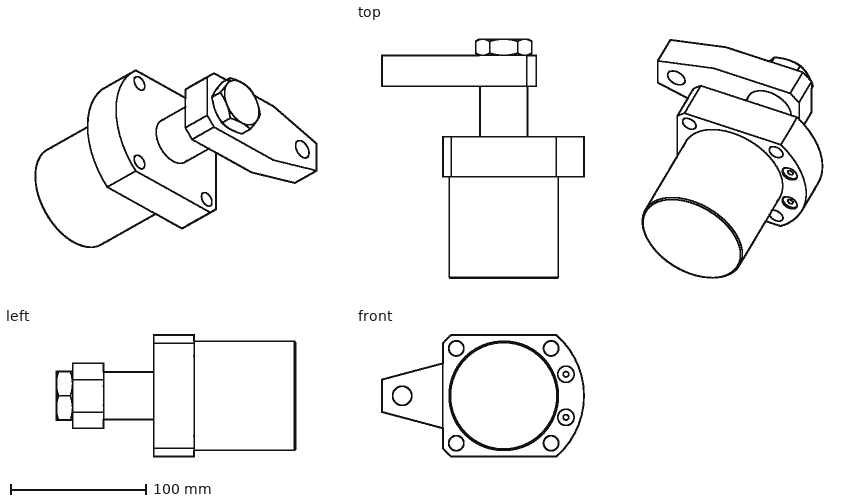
import cadquery as cq
import math


barrel_length = 75.0
flange_thickness = 30.0
rod_length = 37.0
arm_thickness = 23.0
nut_thickness = 12.0

barrel_top = barrel_length
flange_top = barrel_top + flange_thickness
rod_top = flange_top + rod_length
arm_top = rod_top + arm_thickness
nut_top = arm_top + nut_thickness

flange_radius = 59.5
flange_half_width = 45.0
barrel_diameter = 80.9
barrel_chamfer = 1.0
bolt_hole_offset = 35.0
bolt_hole_diameter = 11.0

port_x = 46.0
port_z = 16.0
port_recess_diameter = 12.0
port_recess_depth = 1.2
port_hole_diameter = 4.0
port_hole_depth = 10.0
drill_point_angle = 118

rod_diameter = 35.4

arm_reach = 90.1
arm_half_width = 24.0
arm_taper_x = 45.0
arm_tip_half_width = 12.0
arm_corner_chamfer = 7.0
arm_hole_x = 75.0
arm_hole_diameter = 14.0

nut_across_flats = 36.0
nut_chamfer_angle = 30


def section_plane(y):
    """Plane across the axis at height y; extruding from it runs toward -Y."""
    return cq.Workplane("XZ", origin=(0, y, 0))


def revolve_about_y(half_profile):
    """Full turn of a closed (radius, y) outline about the Y axis."""
    return cq.Workplane("XY").polyline(half_profile).close().revolve(360, (0, 0), (0, 1))


def make_port_cutter(z):
    """Shallow round recess with a drilled, cone-bottomed hole in its middle."""
    recess_radius = port_recess_diameter / 2
    hole_radius = port_hole_diameter / 2
    recess_floor = barrel_top + port_recess_depth
    hole_floor = recess_floor + port_hole_depth
    drill_tip = hole_floor + hole_radius / math.tan(math.radians(drill_point_angle / 2))
    half_profile = [
        (0, barrel_top),
        (recess_radius, barrel_top),
        (recess_radius, recess_floor),
        (hole_radius, recess_floor),
        (hole_radius, hole_floor),
        (0, drill_tip),
    ]
    return revolve_about_y(half_profile).translate((port_x, 0, z))


def make_housing():
    flange = section_plane(flange_top).circle(flange_radius).extrude(flange_thickness)
    trim_length = flange_half_width + flange_radius
    trim = (
        section_plane(flange_top)
        .center(trim_length / 2 - flange_half_width, 0)
        .rect(trim_length, 2 * flange_half_width)
        .extrude(flange_thickness)
    )
    flange = flange.intersect(trim)

    bolt_holes = (
        section_plane(flange_top)
        .rect(2 * bolt_hole_offset, 2 * bolt_hole_offset, forConstruction=True)
        .vertices()
        .circle(bolt_hole_diameter / 2)
        .extrude(flange_thickness)
    )
    flange = flange.cut(bolt_holes)
    for z in (-port_z, port_z):
        flange = flange.cut(make_port_cutter(z))

    barrel = section_plane(barrel_top).circle(barrel_diameter / 2).extrude(barrel_length)
    barrel = barrel.faces("<Y").edges().chamfer(barrel_chamfer)
    return flange.union(barrel)


def make_rod():
    return section_plane(rod_top).circle(rod_diameter / 2).extrude(rod_length)


def make_arm():
    arm_back = arm_half_width
    corner_x = arm_back - arm_corner_chamfer
    corner_z = arm_half_width - arm_corner_chamfer
    outline = [
        (-arm_reach, arm_tip_half_width),
        (-arm_taper_x, arm_half_width),
        (corner_x, arm_half_width),
        (arm_back, corner_z),
        (arm_back, -corner_z),
        (corner_x, -arm_half_width),
        (-arm_taper_x, -arm_half_width),
        (-arm_reach, -arm_tip_half_width),
    ]
    arm = section_plane(arm_top).polyline(outline).close().extrude(arm_thickness)
    hole = (
        section_plane(arm_top)
        .center(-arm_hole_x, 0)
        .circle(arm_hole_diameter / 2)
        .extrude(arm_thickness)
    )
    return arm.cut(hole)


def make_nut():
    """Hexagon with its corners turned off by a cone at both ends."""
    flat_radius = nut_across_flats / 2
    corner_radius = flat_radius / math.cos(math.pi / 6)
    corner_drop = (corner_radius - flat_radius) * math.tan(math.radians(nut_chamfer_angle))
    hexagon = section_plane(nut_top).polygon(6, 2 * corner_radius).extrude(nut_thickness)
    half_profile = [
        (0, arm_top),
        (flat_radius, arm_top),
        (corner_radius, arm_top + corner_drop),
        (corner_radius, nut_top - corner_drop),
        (flat_radius, nut_top),
        (0, nut_top),
    ]
    return hexagon.intersect(revolve_about_y(half_profile))


housing = make_housing()
rod = make_rod()
arm = make_arm()
nut = make_nut()

result = cq.Compound.makeCompound([housing.val(), rod.val(), arm.val(), nut.val()])